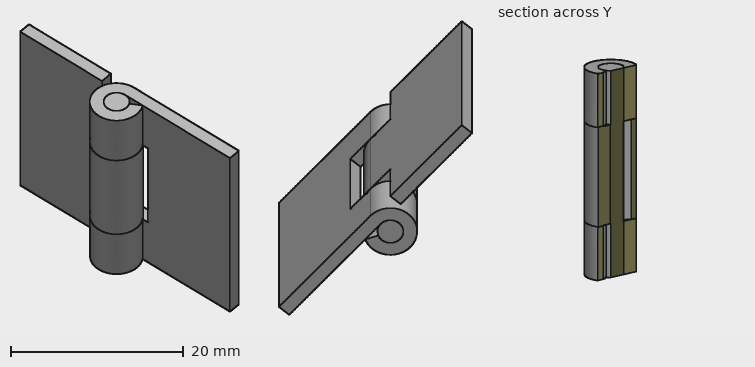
import cadquery as cq
import math

OPEN_WIDTH = 32.0
HEIGHT = 25.0
SHEET = 1.6
PIN_RADIUS = 1.5
MIDDLE_KNUCKLE = 12.0
NOTCH_CLEARANCE = 0.4
CURL_GAP_ANGLE = 0.15

KNUCKLE_RADIUS = PIN_RADIUS + SHEET
LEAF_REACH = OPEN_WIDTH / 2
NOTCH_REACH = KNUCKLE_RADIUS + NOTCH_CLEARANCE
END_KNUCKLE = (HEIGHT - MIDDLE_KNUCKLE) / 2
CURL_TOUCH_ANGLE = math.degrees(math.asin(PIN_RADIUS / KNUCKLE_RADIUS))
CURL_END_ANGLE = CURL_TOUCH_ANGLE - CURL_GAP_ANGLE


def polar(radius, degrees):
    angle = math.radians(degrees)
    return (radius * math.cos(angle), radius * math.sin(angle))


def rolled_leaf():
    """Flat leaf towards +X, rolled around the pin hole over the full height."""
    return (
        cq.Workplane("XY", origin=(0, 0, -HEIGHT / 2))
        .moveTo(LEAF_REACH, PIN_RADIUS)
        .lineTo(LEAF_REACH, KNUCKLE_RADIUS)
        .lineTo(0, KNUCKLE_RADIUS)
        .threePointArc((-KNUCKLE_RADIUS, 0), polar(KNUCKLE_RADIUS, CURL_END_ANGLE))
        .lineTo(*polar(PIN_RADIUS, CURL_END_ANGLE))
        .threePointArc((-PIN_RADIUS, 0), (0, PIN_RADIUS))
        .close()
        .extrude(HEIGHT)
    )


def notch(height, z_center):
    """Block that clears a knuckle of the other leaf and the gap beside it."""
    side = 2 * NOTCH_REACH
    return cq.Workplane("XY", origin=(0, 0, z_center)).box(side, side, height)


right_leaf = rolled_leaf().cut(notch(MIDDLE_KNUCKLE, 0))

left_leaf = rolled_leaf().mirror("YZ")
for end in (-1, 1):
    left_leaf = left_leaf.cut(notch(END_KNUCKLE, end * (HEIGHT - END_KNUCKLE) / 2))

pin = cq.Workplane("XY", origin=(0, 0, -HEIGHT / 2)).circle(PIN_RADIUS).extrude(HEIGHT)

result = cq.Compound.makeCompound([
    right_leaf.solids().val(),
    left_leaf.solids().val(),
    pin.val(),
])